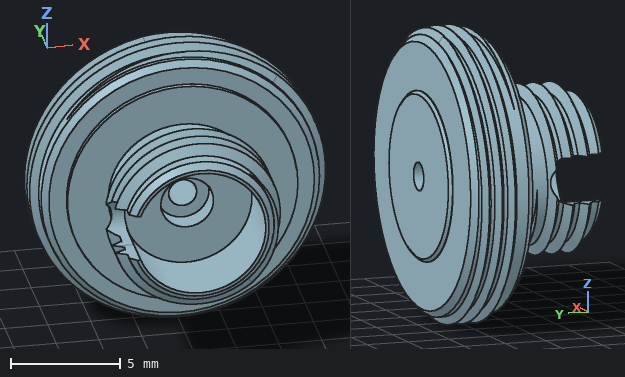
import cadquery as cq
import math


tube_radius = 3.475
tube_bore_radius = 3.02
tube_length = 4.38
tube_chamfer = 0.3
bore_depth = 3.31
ferrule_radius = 1.226
key_slot_width = 2.2
key_slot_length = 2.785

step_radius = 5.37
step_height = 0.26
rim_radius = 6.49
rim_height = 3.05
rim_chamfer = 0.3
boss_radius = 3.94
boss_height = 0.17
boss_chamfer = 0.15
pinhole_radius = 0.65

rim_front = tube_length + step_height
rim_back = rim_front + rim_height
total_length = rim_back + boss_height

flank_slope = math.tan(math.radians(30))
thread_embed = 0.03
fade_angle = 103
points_per_turn = 24
turn = 360

tube_crest_radius = 3.965
tube_pitch = 0.8
tube_thread_depth = 2.99
tube_thread_start = -77
tube_thread_end = 3 * turn - 50

rim_crest_radius = 6.875
rim_pitch = 0.635
rim_thread_depth = 6.71
rim_thread_start = 101 - turn
rim_thread_end = 2 * turn + 48


def disc(radius, front, back):
    """Cylinder about Y between two depths."""
    return cq.Workplane("XZ", origin=(0, back, 0)).circle(radius).extrude(back - front)


def ridge_section(start, end, core_radius, crest_radius, pitch, zero_depth):
    """Helical ridge between two (angle, size) ends; size 1 is full height."""
    start_angle, start_size = start
    end_angle, end_size = end
    root_radius = core_radius - thread_embed
    full_height = crest_radius - root_radius
    steps = math.ceil(points_per_turn * (end_angle - start_angle) / turn)

    def helix_edge(rise, side):
        """Edge at the crest (rise 1, side 0) or at one foot of the ridge (rise 0, side 1 or -1)."""
        points = []
        for i in range(steps + 1):
            share = i / steps
            angle = start_angle + share * (end_angle - start_angle)
            height = full_height * (start_size + share * (end_size - start_size))
            radius = root_radius + rise * height
            depth = zero_depth - pitch * angle / turn + side * height * flank_slope
            x = radius * math.cos(math.radians(angle))
            z = radius * math.sin(math.radians(angle))
            points.append(cq.Vector(x, depth, z))
        return cq.Edge.makeSpline(points)

    edges = [helix_edge(1, 0), helix_edge(0, 1), helix_edge(0, -1)]
    faces = [cq.Face.makeRuledSurface(edges[i], edges[i - 1]) for i in range(len(edges))]
    for size, edge_position in ((start_size, 0), (end_size, 1)):
        if size > 0:
            corners = [edge.positionAt(edge_position) for edge in edges]
            faces.append(cq.Face.makeFromWires(cq.Wire.makePolygon(corners, close=True)))
    return cq.Solid.makeSolid(cq.Shell.makeShell(faces)).fix()


def add_thread(body, start, end, core_radius, crest_radius, pitch, zero_depth):
    """Join a ridge with faded ends to a body."""
    ends = [(start - fade_angle, 0), (start, 1), (end, 1), (end + fade_angle, 0)]
    for section_start, section_end in zip(ends, ends[1:]):
        ridge = ridge_section(section_start, section_end, core_radius, crest_radius, pitch, zero_depth)
        body = body.union(ridge)
    return body


def key_slot():
    """Round-ended slot cutter through the -X wall of the tube."""
    end_radius = key_slot_width / 2
    return (
        cq.Workplane("YZ")
        .moveTo(0, end_radius)
        .lineTo(key_slot_length - end_radius, end_radius)
        .threePointArc((key_slot_length, 0), (key_slot_length - end_radius, -end_radius))
        .lineTo(0, -end_radius)
        .close()
        .extrude(-tube_crest_radius)
    )


def make_tube():
    """Externally threaded tube with a bore, a ferrule hole in its floor and a key slot."""
    body = disc(tube_radius, 0, tube_length).faces("<Y").chamfer(tube_chamfer)
    body = add_thread(
        body,
        tube_thread_start,
        tube_thread_end,
        tube_radius,
        tube_crest_radius,
        tube_pitch,
        tube_thread_depth,
    )
    body = body.cut(disc(tube_bore_radius, 0, bore_depth))
    body = body.cut(disc(ferrule_radius, bore_depth, tube_length))
    return body.cut(key_slot())


def make_flange():
    """Externally threaded flange with a front step, a back boss and a pinhole."""
    body = disc(rim_radius, rim_front, rim_back).faces("<Y or >Y").chamfer(rim_chamfer)
    body = add_thread(
        body,
        rim_thread_start,
        rim_thread_end,
        rim_radius,
        rim_crest_radius,
        rim_pitch,
        rim_thread_depth,
    )
    step = disc(step_radius, tube_length, rim_front)
    boss = disc(boss_radius, rim_back, total_length).faces(">Y").chamfer(boss_chamfer)
    body = body.union(step).union(boss)
    return body.cut(disc(pinhole_radius, tube_length, total_length))


tube = make_tube()
flange = make_flange()

result = cq.Compound.makeCompound([tube.solids().val(), flange.solids().val()])